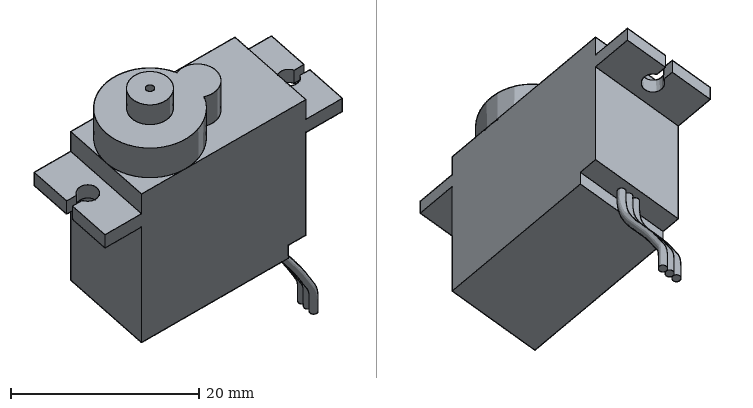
import cadquery as cq


case_width = 12.0
case_length = 22.45
case_height = 22.5
front_y = -case_width / 2
back_y = front_y + case_length
middle_y = (front_y + back_y) / 2

step_length = 2.4
step_height = 1.95

tab_length = 5.0
tab_thickness = 2.0
tab_drop = 3.0
tab_top_z = case_height - tab_drop
screw_hole_diameter = 2.48
screw_slot_width = 1.0

tower_height = 4.5
main_boss_diameter = case_width
small_boss_diameter = 5.0
small_boss_y = 6.5

shaft_diameter = 5.0
shaft_height = 3.0
shaft_hole_diameter = 1.0
shaft_base_z = case_height + tower_height

overall_length = 33.05
overall_height = 46.7
wire_count = 3
wire_diameter = 1.0
wire_inset = 1.35
wire_top_straight = 1.2
wire_bottom_straight = 2.0
wire_top_y = back_y - wire_inset
wire_end_y = front_y - tab_length + overall_length - wire_diameter / 2
wire_end_z = shaft_base_z + shaft_height - overall_height
wire_bend_points = [(1.3, 6.05), (4.25, 11.05), (6.0, 14.5)]


def block(length, height, center_y, bottom_z):
    """Full-width block centred on X = 0."""
    return (
        cq.Workplane("XY", origin=(0, center_y, bottom_z))
        .box(case_width, length, height, centered=(True, True, False))
    )


def cylinder(diameter, height, center_y, bottom_z):
    """Upright cylinder on the plane X = 0."""
    return cq.Workplane("XY", origin=(0, center_y, bottom_z)).circle(diameter / 2).extrude(height)


def make_case_block():
    """Main block with the step removed from its lower back edge."""
    step = block(step_length, step_height, back_y - step_length / 2, 0)
    return block(case_length, case_height, middle_y, 0).cut(step)


def make_tabs():
    """Both mounting tabs as one plate with an open-ended screw hole at each end."""
    plate_length = case_length + 2 * tab_length
    bottom_z = tab_top_z - tab_thickness
    plate = block(plate_length, tab_thickness, middle_y, bottom_z)
    for side in (-1, 1):
        hole_y = middle_y + side * (case_length + tab_length) / 2
        slot_y = hole_y + side * tab_length / 4
        hole = cylinder(screw_hole_diameter, tab_thickness, hole_y, bottom_z)
        slot = (
            cq.Workplane("XY", origin=(0, slot_y, bottom_z))
            .rect(screw_slot_width, tab_length / 2)
            .extrude(tab_thickness)
        )
        plate = plate.cut(hole).cut(slot)
    return plate


def make_gear_tower():
    """Main boss around the shaft merged with the small boss behind it."""
    main_boss = cylinder(main_boss_diameter, tower_height, 0, case_height)
    small_boss = cylinder(small_boss_diameter, tower_height, small_boss_y, case_height)
    return main_boss.union(small_boss)


def make_housing():
    """Case, mounting tabs and gear tower as a single body."""
    return make_case_block().union(make_tabs()).union(make_gear_tower())


def make_shaft():
    """Output shaft standing on the gear tower, with a screw hole along its axis."""
    shaft = cylinder(shaft_diameter, shaft_height, 0, shaft_base_z)
    return shaft.cut(cylinder(shaft_hole_diameter, shaft_height, 0, shaft_base_z))


def make_wire(center_x):
    """Round wire hanging from the step: straight, S-bend backwards, straight."""
    bend = [(wire_top_y, step_height - wire_top_straight)]
    bend += [(wire_top_y + back, step_height - below) for back, below in wire_bend_points]
    bend.append((wire_end_y, wire_end_z + wire_bottom_straight))
    path = (
        cq.Workplane("YZ", origin=(center_x, 0, 0))
        .moveTo(wire_top_y, step_height)
        .lineTo(*bend[0])
        .spline(bend[1:], tangents=[(0, -1), (0, -1)], includeCurrent=True)
        .lineTo(wire_end_y, wire_end_z)
    )
    return (
        cq.Workplane("XY", origin=(center_x, wire_top_y, step_height))
        .circle(wire_diameter / 2)
        .sweep(path)
    )


housing = make_housing()
shaft = make_shaft()
wires = []
for index in range(wire_count):
    wire_x = (index - (wire_count - 1) / 2) * wire_diameter
    wires.append(make_wire(wire_x).val())

result = cq.Compound.makeCompound([housing.val(), shaft.val(), *wires])